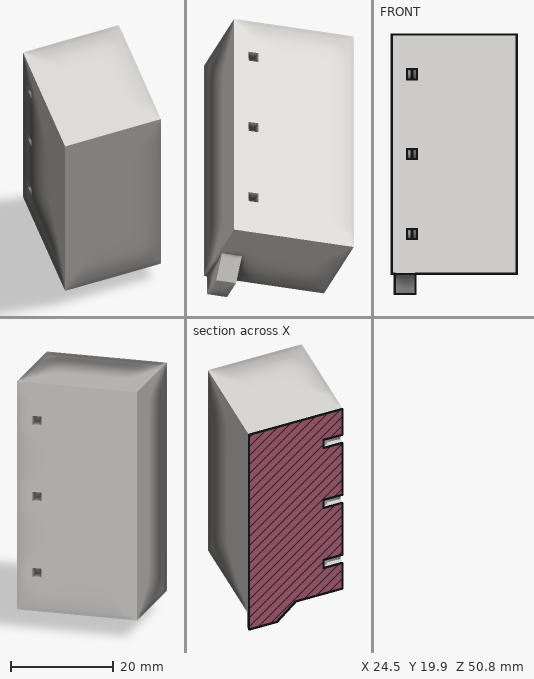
import cadquery as cq
import math

body_width = 24.5
body_depth = 19.9
total_height = 50.8
foot_height = 3.95
body_height = total_height - foot_height

foot_width = 4.05
foot_left = 0.6
foot_front = body_depth / 2

window_count = 3
window_pitch = body_height / window_count
window_size = 2.0
window_left = 3.0
window_depth = 4.05

contact_diameter = 3.6
tip_diameter = window_size
tip_half_angle = 30.0
contact_end = 3.85
tip_start = 4.1


def make_body():
    return cq.Workplane("XY").box(body_width, body_depth, body_height, centered=False)


def make_foot():
    profile = [
        (foot_front, 0),
        (body_depth, 0),
        (body_depth, -foot_height),
        (foot_front + foot_height, -foot_height),
    ]
    return (
        cq.Workplane("YZ")
        .workplane(offset=foot_left)
        .polyline(profile)
        .close()
        .extrude(foot_width)
    )


def make_window():
    """Square pocket, centred on Z = 0 and open at the front face."""
    return cq.Workplane("XY").box(
        window_size, window_depth, window_size, centered=(False, False, True)
    ).translate((window_left, 0, 0))


def make_round_contact():
    """Cylinder reaching from the left wall of the window to the gap."""
    return (
        cq.Workplane("YZ", origin=(window_left, window_depth, 0))
        .circle(contact_diameter / 2)
        .extrude(contact_end - window_left)
    )


def make_conical_contact():
    """Cone widening from its blunt tip at the gap into the right wall."""
    tip_radius = tip_diameter / 2
    base_radius = contact_diameter / 2
    length = (base_radius - tip_radius) / math.tan(math.radians(tip_half_angle))
    profile = [(0, 0), (0, tip_radius), (length, base_radius), (length, 0)]
    return (
        cq.Workplane("XZ", origin=(tip_start, window_depth, 0))
        .polyline(profile)
        .close()
        .revolve(360, (0, 0, 0), (1, 0, 0))
    )


window_cavity = make_window().cut(make_round_contact()).cut(make_conical_contact())

result = make_body().union(make_foot())
for index in range(window_count):
    window_z = (index + 0.5) * window_pitch
    result = result.cut(window_cavity.translate((0, 0, window_z)))